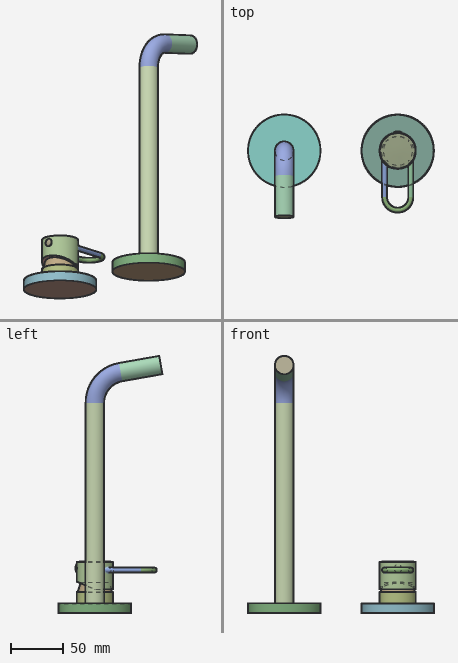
import cadquery as cq
import math

flange_diameter = 70.0
flange_radius = flange_diameter / 2
flange_height = 9.5
valve_spacing = 109.0
edge_chamfer = 0.5

tube_diameter = 18.0
tube_radius = tube_diameter / 2
outlet_rise_angle = 10.0
bend_radius = 30.0
bend_angle = 90 - outlet_rise_angle
overall_height = 247.0
outlet_reach = 65.0

body_radius = 17.5
body_top = 20.5
neck_bottom_radius = 16.5
neck_top_radius = 13.8
neck_top = 29.6

cap_radius = body_radius
cap_bottom = 23.0
cap_rim = 49.5
cap_crown = 0.5
relief_angle = 22.0

lever_height = 41.3
lever_wire_radius = 2.5
lever_arm_offset = 12.5
lever_straight_end = 44.5
lever_root_fillet = 1.2

button_height = 43.0
button_radius = 3.7
button_rim = 0.2
button_crown = 1.0


def make_flange():
    return cq.Workplane("XY").circle(flange_radius).extrude(flange_height)


def make_spout():
    """Flange and bent tube as one solid."""
    rise = math.radians(outlet_rise_angle)
    end_y = -(outlet_reach - tube_radius * math.sin(rise))
    end_z = overall_height - tube_radius * math.cos(rise)
    bend_end_y = -bend_radius * (1 - math.sin(rise))
    outlet_length = (bend_end_y - end_y) / math.cos(rise)
    bend_end_z = end_z - outlet_length * math.sin(rise)
    bend_start_z = bend_end_z - bend_radius * math.cos(rise)
    half_turn = math.radians(bend_angle / 2)
    bend_middle = (
        -bend_radius * (1 - math.cos(half_turn)),
        bend_start_z + bend_radius * math.sin(half_turn),
    )
    path = (
        cq.Workplane("YZ")
        .moveTo(0, 0)
        .lineTo(0, bend_start_z)
        .threePointArc(bend_middle, (bend_end_y, bend_end_z))
        .lineTo(end_y, end_z)
    )
    tube = cq.Workplane("XY").circle(tube_radius).sweep(path)
    return make_flange().union(tube)


def make_valve_base():
    """Flange, cylindrical body and tapered neck as one solid, on its own axis."""
    profile = (
        cq.Workplane("XZ")
        .lineTo(body_radius, 0)
        .lineTo(body_radius, body_top - edge_chamfer)
        .lineTo(body_radius - edge_chamfer, body_top)
        .lineTo(neck_bottom_radius, body_top)
        .lineTo(neck_top_radius, neck_top)
        .lineTo(0, neck_top)
        .close()
    )
    stem = profile.revolve(360, (0, 0, 0), (0, 1, 0))
    flange = make_flange().faces(">Z").chamfer(edge_chamfer)
    return flange.union(stem)


def make_cap():
    """Cap with a slightly conical top and a sloped relief under its rear half."""
    blank = (
        cq.Workplane("XZ")
        .moveTo(0, cap_bottom)
        .lineTo(cap_radius, cap_bottom)
        .lineTo(cap_radius, cap_rim - edge_chamfer)
        .lineTo(cap_radius - edge_chamfer, cap_rim)
        .lineTo(0, cap_rim + cap_crown)
        .close()
        .revolve(360, (0, 0, 0), (0, 1, 0))
    )
    relief_depth = 2 * cap_radius
    relief_rise = relief_depth * math.tan(math.radians(relief_angle))
    relief = (
        cq.Workplane("YZ")
        .moveTo(0, cap_bottom)
        .lineTo(relief_depth, cap_bottom)
        .lineTo(relief_depth, cap_bottom + relief_rise)
        .close()
        .extrude(cap_radius, both=True)
    )
    return blank.cut(relief)


def make_lever():
    """U-shaped round wire whose two arms start inside the cap."""
    path = (
        cq.Workplane("XY", origin=(0, 0, lever_height))
        .moveTo(-lever_arm_offset, 0)
        .lineTo(-lever_arm_offset, -lever_straight_end)
        .threePointArc(
            (0, -lever_straight_end - lever_arm_offset),
            (lever_arm_offset, -lever_straight_end),
        )
        .lineTo(lever_arm_offset, 0)
    )
    wire_start = cq.Workplane("XZ", origin=(-lever_arm_offset, 0, lever_height))
    return wire_start.circle(lever_wire_radius).sweep(path)


def make_button():
    """Low round button with a domed crown, standing out of the back of the cap."""
    rim_y = cap_radius + button_rim
    crown_y = rim_y + button_crown
    sphere_radius = (button_radius**2 + button_crown**2) / (2 * button_crown)
    half_angle = math.asin(button_radius / sphere_radius) / 2
    crown_shoulder = (
        sphere_radius * math.sin(half_angle),
        crown_y - sphere_radius * (1 - math.cos(half_angle)),
    )
    return (
        cq.Workplane("XY")
        .lineTo(button_radius, 0)
        .lineTo(button_radius, rim_y)
        .threePointArc(crown_shoulder, (0, crown_y))
        .close()
        .revolve(360, (0, 0, 0), (0, 1, 0))
        .translate((0, 0, button_height))
    )


def make_handle(valve_base):
    """Cap, loop lever and button as one solid, hollowed to fit over the neck."""
    handle = make_cap().union(make_lever())
    arm_roots = cq.selectors.BoxSelector(
        (-cap_radius, -cap_radius, lever_height - 2 * lever_wire_radius),
        (cap_radius, 0, lever_height + 2 * lever_wire_radius),
        boundingbox=True,
    )
    handle = handle.edges(arm_roots).fillet(lever_root_fillet)
    return handle.union(make_button()).cut(valve_base)


valve_position = (valve_spacing, 0, 0)
valve_base = make_valve_base()
spout = make_spout()
handle = make_handle(valve_base).translate(valve_position)
valve_base = valve_base.translate(valve_position)

result = cq.Compound.makeCompound([spout.solids().val(), valve_base.solids().val(), handle.solids().val()])